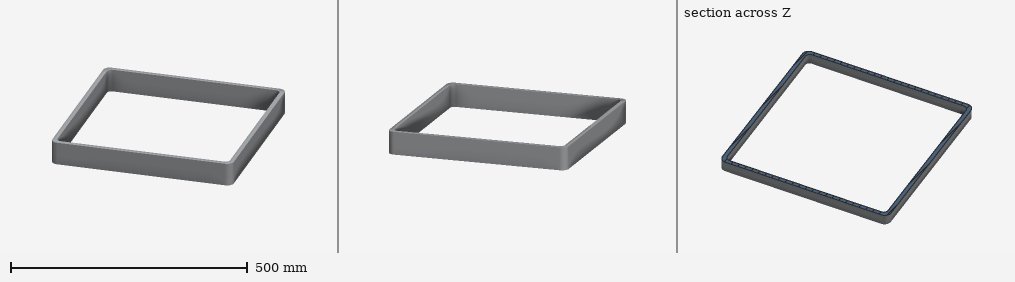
import cadquery as cq

side = 400.0
height = 50.0
wall = 10.0
outer_radius = 1.5 * wall
inner_radius = 10.0


def rounded_square_prism(width, corner_radius):
    """Square prism with rounded vertical edges, standing on the XY plane."""
    prism = cq.Workplane("XY").rect(width, width).extrude(height)
    return prism.edges("|Z").fillet(corner_radius)


outer_body = rounded_square_prism(side, outer_radius)
opening = rounded_square_prism(side - 2 * wall, inner_radius)
result = outer_body.cut(opening)